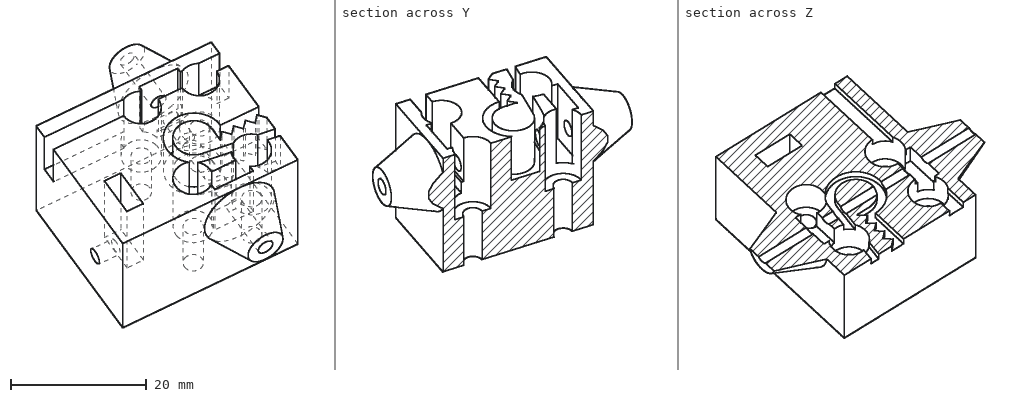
import cadquery as cq
import math

block_width = 25.0
block_depth = 30.0
block_height = 21.0

overall_width = 40.0
spout_base_diameter = 12.0
spout_tip_diameter = 6.0
spout_y = block_depth - 10.0
spout_z = block_height - spout_base_diameter / 2
bore_diameter = 2.5

screw_spacing_x = 15.0
screw_spacing_y = 10.0
screw_diameter = 3.0
head_diameter = 5.9
head_depth = 12.0

slot_width = 2.6
slot_depth = 8.0
slot_left = -block_width / 2 + 2.4

side_pocket_length = 6.6
side_pocket_width = 3.0
side_pocket_depth = 10.0
side_pocket_x = 9.4
front_pocket_length = 6.5
front_pocket_width = 2.8
front_pocket_depth = 14.0
front_pocket_x = 4.5
front_pocket_y = 4.9

front_hole_diameter = 2.5
front_hole_z = 8.5

groove_depth = 8.0
groove_width = 1.4
tongue_radius = 3.1
tongue_x = 1.25
tongue_y = block_depth - 11.1
tongue_lean = 8.0
tooth_root_x = 3.5
tooth_reach = 1.15
tooth_pitch = 2.0
tooth_count = 4


def spout(side):
    """Frustum on the left (side = -1) or right (side = 1) face."""
    length = (overall_width - block_width) / 2
    base_centre = cq.Vector(side * block_width / 2, spout_y, spout_z)
    outward = cq.Vector(side, 0, 0)
    return cq.Solid.makeCone(
        spout_base_diameter / 2, spout_tip_diameter / 2, length, base_centre, outward
    )



def top_pocket(x, y, width, length, depth):
    """Rectangular cutter, centred at (x, y), sunk from the top face."""
    return cq.Workplane("XY", origin=(x, y, block_height)).rect(width, length).extrude(-depth)


def groove():
    """Cutter running down the teeth, around the tongue and back up its leaning side."""
    outer_radius = tongue_radius + groove_width
    lean = math.radians(tongue_lean)

    def on_circle(radius, angle):
        return (tongue_x + radius * math.cos(angle), tongue_y + radius * math.sin(angle))

    def tangent_at_back(radius):
        rise = block_depth - tongue_y
        return (tongue_x + radius / math.cos(lean) + rise * math.tan(lean), block_depth)

    mid_angle = (math.pi / 2 + 2 * math.pi - lean) / 2
    outline = (
        cq.Workplane("XY", origin=(0, 0, block_height))
        .moveTo(tongue_x, block_depth)
        .lineTo(*on_circle(outer_radius, math.pi / 2))
        .threePointArc(on_circle(outer_radius, mid_angle), on_circle(outer_radius, -lean))
        .lineTo(*tangent_at_back(outer_radius))
        .lineTo(*tangent_at_back(tongue_radius))
        .lineTo(*on_circle(tongue_radius, -lean))
        .threePointArc(on_circle(tongue_radius, mid_angle), on_circle(tongue_radius, math.pi / 2))
    )
    teeth_front = tongue_y + tongue_radius
    for tooth in range(tooth_count):
        tooth_front = teeth_front + tooth * tooth_pitch
        outline = outline.lineTo(tooth_root_x, tooth_front)
        outline = outline.lineTo(tooth_root_x - tooth_reach, tooth_front + tooth_pitch / 2)
    return outline.lineTo(tooth_root_x, block_depth).close().extrude(-groove_depth)


body = cq.Workplane("XY").box(block_width, block_depth, block_height, centered=(True, False, False))
for side in (-1, 1):
    body = body.union(spout(side))

slot_x = slot_left + slot_width / 2
body = body.cut(top_pocket(slot_x, block_depth / 2, slot_width, block_depth, slot_depth))
body = body.cut(groove())
for side in (-1, 1):
    body = body.cut(
        top_pocket(
            side * side_pocket_x, spout_y, side_pocket_width, side_pocket_length, side_pocket_depth
        )
    )
body = body.cut(
    top_pocket(front_pocket_x, front_pocket_y, front_pocket_length, front_pocket_width, front_pocket_depth)
)

screw_pattern = cq.Workplane("XY", origin=(0, spout_y, block_height)).rarray(
    screw_spacing_x, screw_spacing_y, 2, 2
)
body = body.cut(screw_pattern.circle(screw_diameter / 2).extrude(-block_height))
body = body.cut(screw_pattern.circle(head_diameter / 2).extrude(-head_depth))

bore = (
    cq.Workplane("YZ", origin=(-overall_width / 2, spout_y, spout_z))
    .circle(bore_diameter / 2)
    .extrude(overall_width)
)
body = body.cut(bore)

front_hole = (
    cq.Workplane("XZ", origin=(front_pocket_x, 0, front_hole_z))
    .circle(front_hole_diameter / 2)
    .extrude(-front_pocket_y)
)
result = body.cut(front_hole)